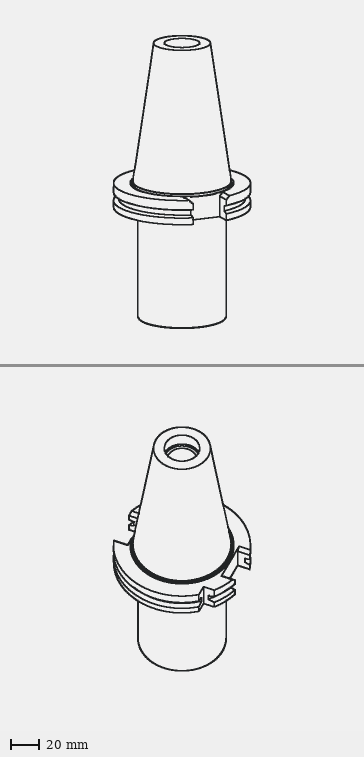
import cadquery as cq
import math

TOTAL_HEIGHT = 201.5
FLANGE_BOTTOM = 81.0
FLANGE_TOP = 98.8
TAPER_BOTTOM = 100.0

SHANK_RADIUS = 63.0 / 2
SHANK_CHAMFER = 0.6

FLANGE_RADIUS = 97.4 / 2
GROOVE_FLOOR_RADIUS = FLANGE_RADIUS - 3.6
GROOVE_BOTTOM = 85.9
GROOVE_TOP = 92.0
GROOVE_SIDE_RISE = 1.2

TAPER_BASE_RADIUS = 70.2 / 2
TAPER_RATIO = 7 / 24
TAPER_TIP_RADIUS = TAPER_BASE_RADIUS - (TOTAL_HEIGHT - TAPER_BOTTOM) * TAPER_RATIO / 2

NECK_RADIUS = 69.4 / 2
RELIEF_RADIUS = 73.8 / 2
RELIEF_FLOOR_RADIUS = 71.8 / 2
RELIEF_DEPTH = 1.0
NECK_CHAMFER = TAPER_BASE_RADIUS - NECK_RADIUS

SLOT_WIDTH = 26.0
SLOT_CHAMFER = 2.6
SLOT_FLOOR_LEFT = 37.5
SLOT_FLOOR_RIGHT = 35.5

NOTCH_OFFSET = 30.0

BORE_RADIUS = 25.0 / 2
BORE_DEPTH = 11.7
RECESS_RADIUS = 25.5 / 2
RECESS_HEIGHT = 2.0
PILOT_RADIUS = 21.0 / 2
PILOT_DEPTH = 40.3
DRILL_POINT_ANGLE = 118


def make_body():
    """Revolve the shank, grooved flange, relief and taper about Z."""
    profile = [
        (0, 0),
        (SHANK_RADIUS - SHANK_CHAMFER, 0),
        (SHANK_RADIUS, SHANK_CHAMFER),
        (SHANK_RADIUS, FLANGE_BOTTOM),
        (FLANGE_RADIUS, FLANGE_BOTTOM),
        (FLANGE_RADIUS, GROOVE_BOTTOM),
        (GROOVE_FLOOR_RADIUS, GROOVE_BOTTOM + GROOVE_SIDE_RISE),
        (GROOVE_FLOOR_RADIUS, GROOVE_TOP - GROOVE_SIDE_RISE),
        (FLANGE_RADIUS, GROOVE_TOP),
        (FLANGE_RADIUS, FLANGE_TOP),
        (RELIEF_RADIUS, FLANGE_TOP),
        (RELIEF_FLOOR_RADIUS, FLANGE_TOP - RELIEF_DEPTH),
        (NECK_RADIUS, FLANGE_TOP - RELIEF_DEPTH),
        (NECK_RADIUS, TAPER_BOTTOM - NECK_CHAMFER),
        (TAPER_BASE_RADIUS, TAPER_BOTTOM),
        (TAPER_TIP_RADIUS, TOTAL_HEIGHT),
        (0, TOTAL_HEIGHT),
    ]
    return cq.Workplane("XZ").polyline(profile).close().revolve(360, (0, 0), (0, 1))


def make_slot(side, floor_distance):
    """Drive slot cutter with chamfered mouth; side is -1 or +1 along X."""
    half_width = SLOT_WIDTH / 2
    mouth = half_width + SLOT_CHAMFER
    profile = [
        (-half_width, FLANGE_BOTTOM),
        (half_width, FLANGE_BOTTOM),
        (half_width, FLANGE_TOP - SLOT_CHAMFER),
        (mouth, FLANGE_TOP),
        (-mouth, FLANGE_TOP),
        (-half_width, FLANGE_TOP - SLOT_CHAMFER),
    ]
    return (
        cq.Workplane("YZ", origin=(side * floor_distance, 0, 0))
        .polyline(profile)
        .close()
        .extrude(side * FLANGE_RADIUS)
    )


def make_notch():
    """Square corner cutter at the -X, +Y part of the flange rim."""
    return (
        cq.Workplane("XY", origin=(-NOTCH_OFFSET, NOTCH_OFFSET, FLANGE_BOTTOM))
        .rect(-FLANGE_RADIUS, FLANGE_RADIUS, centered=False)
        .extrude(FLANGE_TOP - FLANGE_BOTTOM)
    )


def make_bore():
    """Stepped blind bore with a shallow ring recess and a drill point."""
    bore_floor = TOTAL_HEIGHT - BORE_DEPTH
    pilot_floor = TOTAL_HEIGHT - PILOT_DEPTH
    point_depth = PILOT_RADIUS / math.tan(math.radians(DRILL_POINT_ANGLE / 2))
    profile = [
        (0, TOTAL_HEIGHT),
        (BORE_RADIUS, TOTAL_HEIGHT),
        (BORE_RADIUS, bore_floor + RECESS_HEIGHT),
        (RECESS_RADIUS, bore_floor + RECESS_HEIGHT),
        (RECESS_RADIUS, bore_floor),
        (PILOT_RADIUS, bore_floor),
        (PILOT_RADIUS, pilot_floor),
        (0, pilot_floor - point_depth),
    ]
    return cq.Workplane("XZ").polyline(profile).close().revolve(360, (0, 0), (0, 1))


result = (
    make_body()
    .cut(make_slot(-1, SLOT_FLOOR_LEFT))
    .cut(make_slot(1, SLOT_FLOOR_RIGHT))
    .cut(make_notch())
    .cut(make_bore())
)